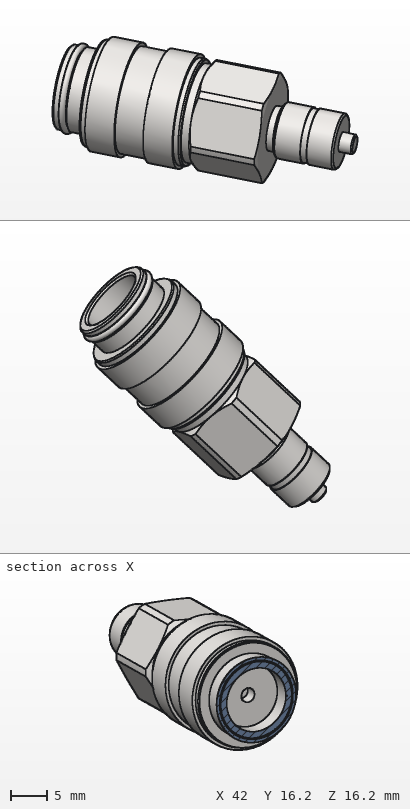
import cadquery as cq

total_length = 42.0

tube_diameter = 12.0
tube_chamfer = 0.25
bore_diameter = 9.05
bore_depth = 4.5
bore_chamfer = 0.3
center_hole_diameter = 2.0
center_hole_depth = 2.1
ring_groove_start = 0.95
ring_groove_end = 2.15
ring_groove_diameter = 11.0
ring_outer_diameter = 12.75
ring_thickness = 1.0

sleeve_start = 4.45
sleeve_end = 19.03
sleeve_diameter = 15.2
sleeve_chamfer_length = 0.25
sleeve_chamfer_depth = 0.13
band_diameter = 16.2
band_width = 4.2
band_starts = (5.45, 13.85)

hex_start = 20.15
hex_end = 30.1
hex_across_flats = 14.03
hex_across_corners = 15.62
hex_turn = 30
hex_front_chamfer = 0.5
hex_back_chamfer = 0.25

neck_diameter = 6.4
collar_start = 31.15
collar_diameter = 7.0
plug_start = 31.35
plug_end = 40.03
plug_diameter = 8.0
plug_chamfer = 0.25
plug_groove_start = 35.3
plug_groove_width = 0.92
plug_groove_diameter = 7.7

pin_diameter = 2.8
pin_chamfer = 0.2


def cylinder(start, end, diameter):
    """Solid cylinder on the X axis between two stations."""
    return cq.Workplane("YZ", origin=(start, 0, 0)).circle(diameter / 2).extrude(end - start)


def turned(profile):
    """Solid of revolution from (station, diameter) pairs, closed along the X axis."""
    first_station = profile[0][0]
    last_station = profile[-1][0]
    outline = [(first_station, 0)]
    outline += [(station, diameter / 2) for station, diameter in profile]
    outline += [(last_station, 0)]
    return cq.Workplane("XY").polyline(outline).close().revolve(360, (0, 0, 0), (1, 0, 0))


def front_tube():
    tube = cylinder(0, sleeve_start, tube_diameter).faces("<X").chamfer(tube_chamfer)
    groove = cylinder(ring_groove_start, ring_groove_end, tube_diameter)
    groove = groove.cut(cylinder(ring_groove_start, ring_groove_end, ring_groove_diameter))
    ring_station = ring_groove_start + ring_thickness / 2
    ring_center_radius = (ring_outer_diameter - ring_thickness) / 2
    ring = (
        cq.Workplane("XY")
        .center(ring_station, ring_center_radius)
        .circle(ring_thickness / 2)
        .revolve(360, (0, -ring_center_radius, 0), (1, -ring_center_radius, 0))
    )
    return tube.cut(groove).union(ring)


def bore():
    mouth_diameter = bore_diameter + 2 * bore_chamfer
    center_hole_end = bore_depth + center_hole_depth
    return turned([
        (0, mouth_diameter),
        (bore_chamfer, bore_diameter),
        (bore_depth, bore_diameter),
        (bore_depth, center_hole_diameter),
        (center_hole_end, center_hole_diameter),
    ])


def sleeve():
    end_diameter = sleeve_diameter - 2 * sleeve_chamfer_depth
    body = turned([
        (sleeve_start, end_diameter),
        (sleeve_start + sleeve_chamfer_length, sleeve_diameter),
        (sleeve_end - sleeve_chamfer_length, sleeve_diameter),
        (sleeve_end, end_diameter),
    ])
    for band_start in band_starts:
        body = body.union(cylinder(band_start, band_start + band_width, band_diameter))
    return body


def hex_nut():
    """Hexagon with flats facing +Z and -Z, its corners turned down and chamfered.

    A round shoulder joins it to the sleeve.
    """
    hexagon = (
        cq.Workplane("YZ", origin=(hex_start, 0, 0))
        .polygon(6, hex_across_flats, circumscribed=True)
        .extrude(hex_end - hex_start)
        .rotate((0, 0, 0), (1, 0, 0), hex_turn)
    )
    envelope = turned([
        (hex_start, hex_across_flats),
        (hex_start + hex_front_chamfer, hex_across_corners),
        (hex_end - hex_back_chamfer, hex_across_corners),
        (hex_end, hex_across_flats),
    ])
    shoulder = cylinder(sleeve_end, hex_start, hex_across_flats)
    return hexagon.intersect(envelope).union(shoulder)


def plug():
    plug_groove_end = plug_groove_start + plug_groove_width
    end_diameter = plug_diameter - 2 * plug_chamfer
    return turned([
        (hex_end, neck_diameter),
        (collar_start, neck_diameter),
        (collar_start, collar_diameter),
        (plug_start, collar_diameter),
        (plug_start, end_diameter),
        (plug_start + plug_chamfer, plug_diameter),
        (plug_groove_start, plug_diameter),
        (plug_groove_start, plug_groove_diameter),
        (plug_groove_end, plug_groove_diameter),
        (plug_groove_end, plug_diameter),
        (plug_end - plug_chamfer, plug_diameter),
        (plug_end, end_diameter),
    ])


def end_pin():
    return cylinder(plug_end, total_length, pin_diameter).faces(">X").chamfer(pin_chamfer)


result = front_tube().union(sleeve()).union(hex_nut()).union(plug()).union(end_pin()).cut(bore())